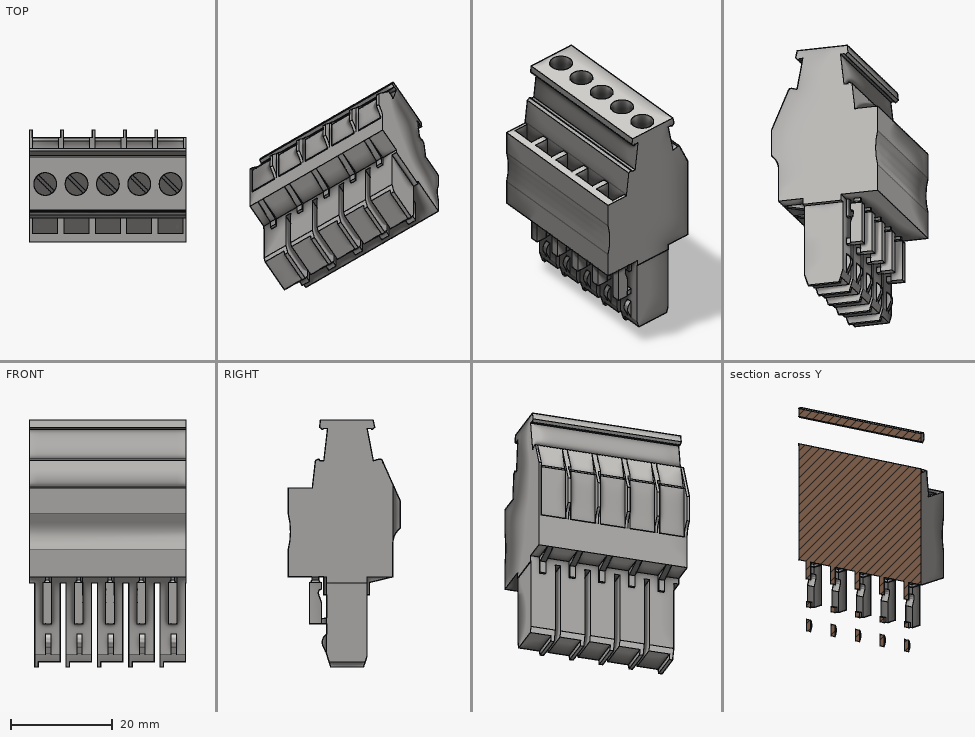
import cadquery as cq
import math


length = 30.75
height = 48.5
depth = 22.0
pole_count = 5
pitch = length / pole_count

body_bottom = 17.7
plate_bottom = 16.5
shelf_top = 35.15
shelf_step_top = 35.45
shoulder_top = 40.8
shoulder_groove = 40.5
cap_bottom = 47.03
cap_lip = 46.55
neck_top = 46.8

grip_top = 30.1
grip_bottom = 23.05
grip_depth = 0.45

back_wall = 20.55
hump_top = 32.6
hump_bottom = 27.25
hump_fade = 24.4
hump_fade_mid = (21.0, 26.05)
pocket_wall = 20.4
shoulder_back = 18.35
back_pocket_top = 40.7
back_rib_width = 0.6
back_stub_width = 0.5
cutter_overrun = 0.5

plug_front = 7.55
plug_back = 15.5
plug_tip_front = 8.35
plug_start = 1.0
plug_width = 5.05
plug_key_width = 0.75
plug_short_end = 1.0
chamfer_top = 2.45

collar_front = 7.0
collar_back = 16.0
collar_bottom = 14.15
gusset_bottom = 16.6

nub_start = 3.15
nub_width = 1.05
nub_bottom = 2.7
collar_width = 1.15
neck_width = 0.7

clip_start = 2.65
clip_width = 1.7
clip_front = 4.15
clip_back = 6.55
clip_top = 16.65
clip_bottom = 8.5
clip_foot_top = 9.5
clip_foot_rise = 0.15
clip_neck_front = 4.65
clip_neck_back = 6.0
flare_spread = 0.25
flare_height = 0.45

screw_diameter = 4.45
screw_offset = 3.1
screw_y = 11.4
screw_hole_depth = 7.25
screw_slot_width = 0.7
screw_slot_depth = 0.75

wire_pocket_start = 0.65
wire_pocket_width = 4.9
wire_pocket_front = 1.7
wire_pocket_depth = 9.7
shelf_back = 4.75


def side_sketch(x):
    """Sketch plane facing +X, with Y and Z as its two axes."""
    return cq.Workplane("YZ", origin=(x, 0, 0))


def side_prism(points, x, width):
    return side_sketch(x).polyline(points).close().extrude(width)


def block(x, y, z, size_x, size_y, size_z):
    return cq.Workplane("XY").box(size_x, size_y, size_z, centered=False).translate((x, y, z))


def housing():
    outline = (
        side_sketch(0)
        .moveTo(0, body_bottom)
        .lineTo(0, grip_bottom)
        .threePointArc((grip_depth, (grip_top + grip_bottom) / 2), (0, grip_top))
        .lineTo(0, shelf_top)
        .lineTo(shelf_back, shelf_top)
        .lineTo(shelf_back, shelf_step_top)
        .lineTo(5.35, shoulder_groove)
        .lineTo(5.9, shoulder_top)
        .lineTo(6.05, shoulder_top)
        .lineTo(6.2, shoulder_groove)
        .lineTo(7.0, shoulder_groove)
        .lineTo(7.7, neck_top)
        .lineTo(6.95, neck_top)
        .lineTo(6.75, cap_lip)
        .lineTo(6.15, cap_bottom)
        .lineTo(6.3, height)
        .lineTo(16.7, height)
        .lineTo(17.0, cap_bottom)
        .lineTo(16.45, cap_lip)
        .lineTo(16.25, neck_top)
        .lineTo(15.5, neck_top)
        .lineTo(16.73, shoulder_groove)
        .lineTo(17.9, shoulder_top)
        .lineTo(shoulder_back, back_pocket_top)
        .lineTo(depth, hump_top)
        .lineTo(depth, hump_bottom)
        .threePointArc(hump_fade_mid, (back_wall, hump_fade))
        .lineTo(back_wall, body_bottom)
        .close()
    )
    plate = block(0, plug_front, plate_bottom, length, plug_back - plug_front, body_bottom - plate_bottom)
    return outline.extrude(length).union(plate)


def back_recess(x):
    """Hollow behind one pole: between two ribs, plus the lowered stub beside the next rib."""
    clear = depth + cutter_overrun
    pocket = [
        (shoulder_back, back_pocket_top),
        (19.85, 35.65),
        (pocket_wall, 35.0),
        (pocket_wall, hump_fade),
        (clear, hump_fade),
        (clear, back_pocket_top),
    ]
    pocket_width = pitch - back_rib_width - back_stub_width
    stub_cut = block(
        x + back_rib_width, back_wall, hump_fade,
        pitch - back_rib_width, clear - back_wall, shoulder_top - hump_fade,
    )
    return side_prism(pocket, x + back_rib_width, pocket_width).union(stub_cut)


def wire_pocket(x):
    floor = shelf_top - wire_pocket_depth
    return block(
        x + wire_pocket_start, wire_pocket_front, floor,
        wire_pocket_width, shelf_back - wire_pocket_front, wire_pocket_depth,
    )


def screw_hole(x):
    """Round access hole that ends on a screw head with a diagonal slot."""
    floor = height - screw_hole_depth
    bore = cq.Workplane("XY", origin=(0, 0, floor)).circle(screw_diameter / 2).extrude(screw_hole_depth)
    slot_bottom = floor - screw_slot_depth
    round_limit = (
        cq.Workplane("XY", origin=(0, 0, slot_bottom)).circle(screw_diameter / 2).extrude(screw_slot_depth)
    )
    slot = (
        cq.Workplane("XY", origin=(0, 0, slot_bottom))
        .rect(screw_diameter, screw_slot_width)
        .extrude(screw_slot_depth)
        .rotate((0, 0, 0), (0, 0, 1), -45)
        .intersect(round_limit)
    )
    return bore.union(slot).translate((x + screw_offset, screw_y, 0))


def plug(x):
    outline = [
        (plug_front, plate_bottom),
        (plug_front, chamfer_top),
        (plug_tip_front, 0),
        (14.8, 0),
        (plug_back, 2.2),
        (plug_back, plate_bottom),
    ]
    left = x + plug_start
    end_relief = block(
        left + plug_key_width, plug_front, 0,
        plug_width - plug_key_width, plug_back - plug_front, plug_short_end,
    )
    return side_prism(outline, left, plug_width).cut(end_relief)


def collar(x):
    """Thin rib at the plug root, with a sloped gusset running to the back wall."""
    outline = [
        (collar_front, body_bottom),
        (collar_front, collar_bottom),
        (collar_back, collar_bottom),
        (collar_back, gusset_bottom),
        (back_wall, body_bottom),
    ]
    return side_prism(outline, x + nub_start, collar_width)


def nub(x):
    """Rounded catch on the front of the plug; its lower end continues the plug's tip chamfer."""
    nub_end = plug_front - (nub_bottom - chamfer_top) * (plug_tip_front - plug_front) / chamfer_top
    return (
        side_sketch(x + nub_start)
        .moveTo(plug_front, 6.45)
        .threePointArc((6.7, 5.15), (7.0, 3.85))
        .lineTo(nub_end, nub_bottom)
        .lineTo(plug_front, chamfer_top)
        .close()
        .extrude(nub_width)
    )


def clip(x):
    bar = (
        side_sketch(x + clip_start)
        .moveTo(clip_front, clip_bottom)
        .lineTo(clip_back, clip_bottom)
        .lineTo(clip_back, 12.7)
        .lineTo(6.0, 14.2)
        .threePointArc((5.95, 14.75), (6.15, 15.15))
        .lineTo(clip_back, 15.25)
        .lineTo(clip_back, clip_top)
        .lineTo(clip_front, clip_top)
        .close()
        .extrude(clip_width)
    )
    neck_length = clip_neck_back - clip_neck_front
    neck = block(
        x + nub_start, clip_neck_front, clip_top,
        neck_width, neck_length, body_bottom - clip_top,
    )
    flare = (
        cq.Workplane("XY", origin=(x + nub_start + neck_width / 2, clip_neck_front + neck_length / 2, clip_top))
        .rect(neck_width + 2 * flare_spread, neck_length + 2 * flare_spread)
        .extrude(flare_height, taper=math.degrees(math.atan2(flare_spread, flare_height)))
    )
    foot = [
        (clip_back, clip_bottom),
        (plug_front, clip_bottom),
        (plug_front, clip_foot_top + clip_foot_rise),
        (clip_back, clip_foot_top),
    ]
    foot_solid = side_prism(foot, x + nub_start, nub_width)
    return bar.union(neck).union(flare).union(foot_solid)


result = housing()
for pole in range(pole_count):
    pole_x = pole * pitch
    for cutter in (back_recess, wire_pocket, screw_hole):
        result = result.cut(cutter(pole_x))
    for addition in (plug, collar, nub, clip):
        result = result.union(addition(pole_x))